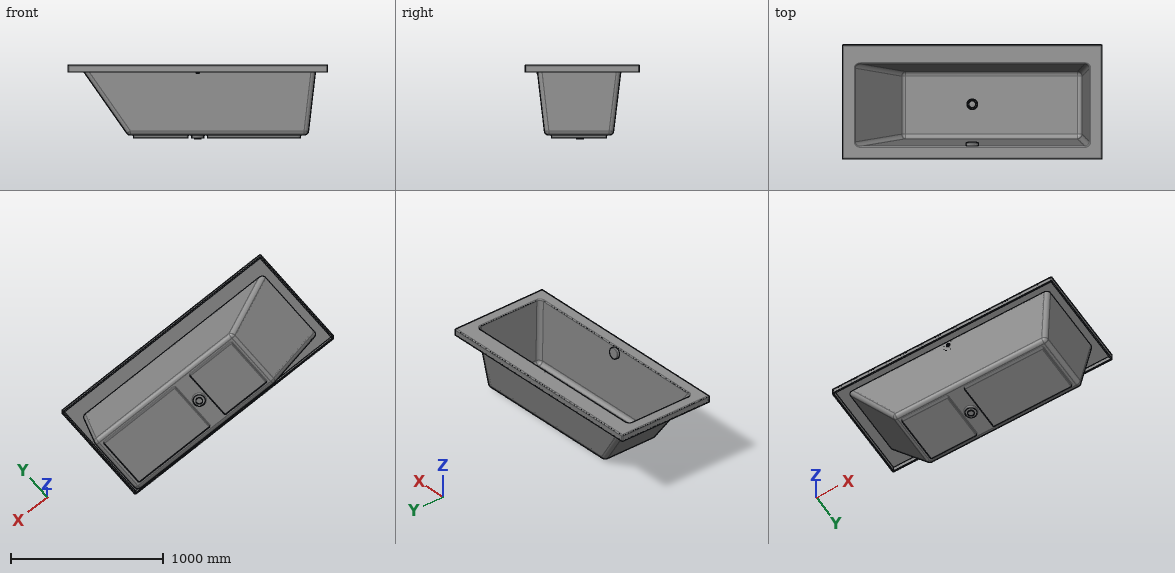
import cadquery as cq
import math

rim_length = 1700.0
rim_width = 750.0
rim_height = 48.0
rim_edge_radius = 7.6
wall = 8.0

floor_depth = 452.0
left_top_x = -768.0
left_floor_x = -452.0
right_top_x = 768.0
right_floor_x = 715.0
back_top_y = 250.0
back_floor_y = 195.0
front_top_y = -290.0
front_floor_y = -238.0
basin_radius = 30.0
lip_radius = 7.6

overall_height = 486.0
foot_height = 19.0
foot_outer_ends = (-422.0, 673.0)
foot_gap = 125.0
foot_back_y = 160.0
foot_front_y = -202.0
foot_corner_radius = 8.0
foot_root_radius = 3.0
foot_edge_radius = 5.0

drain_x = 0.0
drain_y = -15.0
boss_diameter = 80.0
boss_root_radius = 7.0
flange_diameter = 70.0
flange_depth = 2.5
pipe_diameter = 45.0
plug_diameter = 60.0
plug_depth = 2.0
plug_dome_height = 4.2

overflow_x = 0.0
overflow_z = -45.0
cap_diameter = 80.0
cap_thickness = 19.0
cap_face_diameter = 75.0
stem_diameter = 25.0
stem_bore_diameter = 15.0
stem_bore_depth = 8.0
stem_projection = 3.0

floor_underside_z = -floor_depth - wall
boss_bottom_z = floor_underside_z - foot_height
overall_bottom_z = -overall_height

selection_margin = 0.8

wall_run = (front_floor_y - front_top_y) / floor_depth
wall_normal = cq.Vector(0, 1, wall_run)
overflow_plane = cq.Plane(
    origin=(overflow_x, front_top_y - wall_run * overflow_z, overflow_z),
    xDir=(1, 0, 0),
    normal=wall_normal,
)


def basin_block(offset):
    """Tapered block whose faces lie a set distance outside the inner faces of the basin."""

    def side_at(top, bottom, depth):
        run = (top - bottom) / floor_depth
        shift = math.copysign(offset * math.hypot(1, run), top)
        return top + shift - run * depth

    bottom_depth = floor_depth + offset

    def taper(plane, low_top, low_bottom, high_top, high_bottom, reach):
        return (
            cq.Workplane(plane)
            .moveTo(side_at(low_top, low_bottom, 0), 0)
            .lineTo(side_at(low_top, low_bottom, bottom_depth), -bottom_depth)
            .lineTo(side_at(high_top, high_bottom, bottom_depth), -bottom_depth)
            .lineTo(side_at(high_top, high_bottom, 0), 0)
            .close()
            .extrude(reach, both=True)
        )

    lengthwise = taper("XZ", left_top_x, left_floor_x, right_top_x, right_floor_x, rim_width)
    crosswise = taper("YZ", front_top_y, front_floor_y, back_top_y, back_floor_y, rim_length)
    return lengthwise.intersect(crosswise).edges("not(>Z)").fillet(basin_radius)


def make_rim():
    """Flat rim with rounded corners and top edges, hollow underneath."""

    def slab(inset):
        return (
            cq.Workplane("XY")
            .workplane(offset=-rim_height)
            .rect(rim_length - 2 * inset, rim_width - 2 * inset)
            .extrude(rim_height - inset)
        )

    outside = slab(0).edges("|Z or >Z").fillet(rim_edge_radius)
    return outside.cut(slab(wall))


def foot(outer_x, inner_x):
    """Flat foot under the floor with rounded corners and lower edge."""
    return (
        cq.Workplane("XY")
        .workplane(offset=floor_underside_z)
        .center((outer_x + inner_x) / 2, (foot_back_y + foot_front_y) / 2)
        .rect(abs(outer_x - inner_x), foot_back_y - foot_front_y)
        .extrude(-foot_height)
        .edges("|Z")
        .fillet(foot_corner_radius)
        .faces("<Z")
        .edges()
        .fillet(foot_edge_radius)
    )


def upright_disc(diameter, bottom_z, top_z):
    """Round disc on the drain axis."""
    return (
        cq.Workplane("XY")
        .workplane(offset=bottom_z)
        .center(drain_x, drain_y)
        .circle(diameter / 2)
        .extrude(top_z - bottom_z)
    )


def drain_blank():
    """Flange seated in the floor and pipe leading down through the boss."""
    flange = upright_disc(flange_diameter, -floor_depth - flange_depth, -floor_depth)
    return flange.union(upright_disc(pipe_diameter, overall_bottom_z, -floor_depth))


def stem():
    """Stem passing from the overflow cap out through the wall."""
    return cq.Workplane(overflow_plane).circle(stem_diameter / 2).extrude(-wall - stem_projection)


def lip_edges():
    """Selects the edges around the mouth of the basin."""
    return cq.selectors.BoxSelector(
        (left_top_x - selection_margin, front_top_y - selection_margin, -selection_margin),
        (right_top_x + selection_margin, back_top_y + selection_margin, selection_margin),
        boundingbox=True,
    )


def root_edges(one_end_x, other_end_x):
    """Selects the edges in the underside of the floor between two places along the tub."""
    low_x = min(one_end_x, other_end_x) - selection_margin
    high_x = max(one_end_x, other_end_x) + selection_margin
    return cq.selectors.BoxSelector(
        (low_x, foot_front_y - selection_margin, floor_underside_z - selection_margin),
        (high_x, foot_back_y + selection_margin, floor_underside_z + selection_margin),
        boundingbox=True,
    )


def make_tub():
    """Thin-walled rim and basin, with solid feet and drain boss below."""
    shell = make_rim().union(basin_block(wall))
    shell = shell.cut(basin_block(0))
    shell = shell.edges(lip_edges()).fillet(lip_radius)
    for outer_x in foot_outer_ends:
        inner_x = math.copysign(foot_gap / 2, outer_x)
        shell = shell.union(foot(outer_x, inner_x))
        shell = shell.edges(root_edges(outer_x, inner_x)).fillet(foot_root_radius)
    boss_radius = boss_diameter / 2
    shell = shell.union(upright_disc(boss_diameter, boss_bottom_z, floor_underside_z))
    shell = shell.edges(root_edges(drain_x - boss_radius, drain_x + boss_radius)).fillet(boss_root_radius)
    return shell.cut(drain_blank()).cut(stem())


def make_drain():
    """Drain fitting with a shallow seat for the plug."""
    seat = upright_disc(plug_diameter, -floor_depth - plug_depth, -floor_depth)
    return drain_blank().cut(seat)


def make_plug():
    """Plug seated in the flange, with a shallow spherical top."""
    plug_radius = plug_diameter / 2
    sphere_radius = (plug_radius**2 + plug_dome_height**2) / (2 * plug_dome_height)
    sphere_z = -floor_depth + plug_dome_height - sphere_radius
    sphere = cq.Workplane("XY").sphere(sphere_radius).translate((drain_x, drain_y, sphere_z))
    return upright_disc(plug_diameter, -floor_depth - plug_depth, 0).intersect(sphere)


def make_overflow():
    """Round-edged cap on the wall, with its stem bored from the outside."""
    cap = (
        cq.Workplane(overflow_plane)
        .circle(cap_diameter / 2)
        .extrude(cap_thickness)
        .faces(cq.selectors.DirectionMinMaxSelector(wall_normal))
        .edges()
        .fillet((cap_diameter - cap_face_diameter) / 2)
    )
    bore = (
        cq.Workplane(overflow_plane)
        .workplane(offset=-wall - stem_projection)
        .circle(stem_bore_diameter / 2)
        .extrude(stem_bore_depth)
    )
    return cap.union(stem()).cut(bore)


tub = make_tub()
drain = make_drain()
plug = make_plug()
overflow = make_overflow()

result = cq.Compound.makeCompound([tub.val(), drain.val(), plug.val(), overflow.val()])